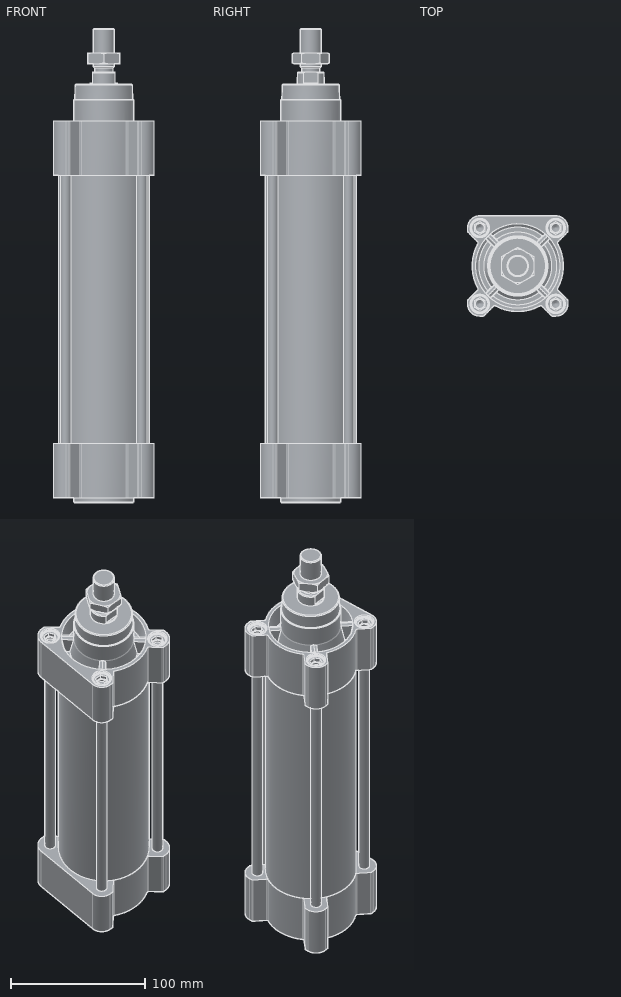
import cadquery as cq
import math

cap_side = 75.0
cap_height = 40.5
cap_round_diameter = 68.0
tie_rod_pitch = 56.5
lug_radius = (cap_side - tie_rod_pitch) / 2
lug_half_width = 8.5
lug_side_offset = lug_half_width * math.sqrt(2)
lug_edge_fillet = 1.5
lug_root_fillet = 1.0

barrel_diameter = 67.8
tie_rod_diameter = 8.0
barrel_length = 199.5

collar_diameter = 45.0
rear_collar_height = 4.0
rear_collar_chamfer = 1.0
front_collar_height = 16.0
front_collar_chamfer = 0.5
neck_height = 11.3
neck_base_diameter = 43.5
neck_top_diameter = 42.7
neck_chamfer = 0.7

recess_diameter = 63.0
recess_floor_diameter = 58.0
recess_depth = 14.0
boss_floor_diameter = 50.5
boss_top_drop = 0.7
rib_eave_width = 4.5
rib_base_width = 5.5
rib_eave_drop = 1.5
rib_ridge_drop = 0.5

socket_mouth_diameter = 14.5
socket_diameter = 13.0
socket_chamfer = (socket_mouth_diameter - socket_diameter) / 2
socket_depth = 1.5
seat_diameter = 12.0
seat_depth = 0.7
hex_across_flats = 8.0
hex_depth = 3.5
screw_hole_diameter = 6.7
screw_hole_depth = 2.0
drill_point_angle = 118

rod_diameter = 20.0
flats_width = 17.0
thread_diameter = 16.0
undercut_diameter = 13.8
undercut_chamfer = (thread_diameter - undercut_diameter) / 2
thread_end_chamfer = 0.7
shoulder_chamfer = 0.7
rod_collar_exposed = 1.0
rod_shoulder_height = 9.2
undercut_length = 3.0
overall_length = 353.0

nut_across_flats = 24.0
nut_height = 8.0
nut_top_below_rod_end = 18.0
nut_chamfer_width = 1.5
nut_chamfer_height = 0.7

rear_cap_z = rear_collar_height
barrel_z = rear_cap_z + cap_height
front_cap_z = barrel_z + barrel_length
front_face_z = front_cap_z + cap_height
neck_z = front_face_z + front_collar_height
neck_top_z = neck_z + neck_height
flats_z = neck_top_z + rod_collar_exposed
shoulder_z = neck_top_z + rod_shoulder_height
thread_z = shoulder_z + undercut_length
nut_top_z = overall_length - nut_top_below_rod_end
nut_z = nut_top_z - nut_height

lug_centers = [
    (sx * tie_rod_pitch / 2, sy * tie_rod_pitch / 2) for sx in (-1, 1) for sy in (-1, 1)
]


def cylinder(diameter, height, z, center=(0, 0)):
    return cq.Workplane("XY", origin=(*center, z)).circle(diameter / 2).extrude(height)


def cone(bottom_diameter, top_diameter, height, z, center=(0, 0)):
    """Frustum (or pointed cone) standing on the plane at z."""
    solid = cq.Solid.makeCone(bottom_diameter / 2, top_diameter / 2, height, cq.Vector(*center, z))
    return cq.Workplane("XY").newObject([solid])


def hexagon_corner_diameter(across_flats):
    return across_flats / math.cos(math.pi / 6)


def hexagon(across_flats, height, z, center=(0, 0)):
    """Hexagonal prism with two of its flats facing -X and +X."""
    corner_diameter = hexagon_corner_diameter(across_flats)
    return (
        cq.Workplane("XY", origin=(*center, z))
        .transformed(rotate=(0, 0, 30))
        .polygon(6, corner_diameter)
        .extrude(height)
    )


def lug(z):
    """Lug at the -X -Y corner: round tip, short flats, then 45 degree sides running inward."""
    half = cap_side / 2
    axis = tie_rod_pitch / 2
    bend = half - lug_side_offset
    arc_mid = axis + lug_radius * math.sqrt(0.5)
    solid = (
        cq.Workplane("XY", origin=(0, 0, z))
        .moveTo(-half, -axis)
        .threePointArc((-arc_mid, -arc_mid), (-axis, -half))
        .lineTo(-bend, -half)
        .lineTo(0, -lug_side_offset)
        .lineTo(-lug_side_offset, 0)
        .lineTo(-half, -bend)
        .close()
        .extrude(cap_height)
    )
    for corner in ((-bend, -half), (-half, -bend)):
        solid = fillet_upright_edge(solid, corner, z, lug_edge_fillet)
    return solid


def fillet_upright_edge(solid, corner, z, radius):
    """Fillet the upright edge of a cap standing on z that passes through the given corner."""
    middle = (*corner, z + cap_height / 2)
    return solid.edges(cq.selectors.NearestToPointSelector(middle)).fillet(radius)


def cap(z):
    """Round body with four lugs, filled out to a straight edge on the +Y side."""
    body = cylinder(cap_round_diameter, cap_height, z)
    for quarter in range(4):
        body = body.union(lug(z).rotate((0, 0, 0), (0, 0, 1), 90 * quarter))
    bridge = (
        cq.Workplane("XY", origin=(0, tie_rod_pitch / 4 + cap_side / 4, z))
        .rect(tie_rod_pitch, lug_radius)
        .extrude(cap_height)
    )
    body = body.union(bridge)

    near = (math.sqrt(cap_round_diameter**2 / 2 - lug_side_offset**2) - lug_side_offset) / 2
    far = near + lug_side_offset
    roots = [(-near, -far), (near, -far), (-far, -near), (far, -near), (-far, near), (far, near)]
    for root in roots:
        body = fillet_upright_edge(body, root, z, lug_root_fillet)
    return body


def recess_rib(angle, floor_z):
    """Peaked, tapered rib across the recess, running along Y before it is turned by the angle."""
    return (
        cq.Workplane("XZ", origin=(0, cap_side / 2, floor_z))
        .moveTo(-rib_base_width / 2, 0)
        .lineTo(rib_base_width / 2, 0)
        .lineTo(rib_eave_width / 2, recess_depth - rib_eave_drop)
        .lineTo(0, recess_depth - rib_ridge_drop)
        .lineTo(-rib_eave_width / 2, recess_depth - rib_eave_drop)
        .close()
        .extrude(cap_side)
        .rotate((0, 0, 0), (0, 0, 1), angle)
    )


def annular_recess():
    """Recess with a tapered outer wall around a tapered boss, crossed by diagonal ribs."""
    floor_z = front_face_z - recess_depth
    recess = cone(recess_floor_diameter, recess_diameter, recess_depth, floor_z)
    recess = recess.cut(cone(boss_floor_diameter, collar_diameter, recess_depth - boss_top_drop, floor_z))
    recess = recess.cut(cylinder(collar_diameter, recess_depth, floor_z))
    for angle in (45, 135):
        recess = recess.cut(recess_rib(angle, floor_z))
    return recess


def screw_socket(center):
    """Chamfered, stepped round mouth, then a hexagon socket with a drilled hole in its floor."""
    socket_z = front_face_z - socket_depth
    seat_z = socket_z - seat_depth
    hex_z = seat_z - hex_depth
    hole_z = hex_z - screw_hole_depth
    point_height = screw_hole_diameter / 2 / math.tan(math.radians(drill_point_angle / 2))
    mouth_z = front_face_z - socket_chamfer
    socket = cone(socket_diameter, socket_mouth_diameter, socket_chamfer, mouth_z, center)
    socket = socket.union(cylinder(socket_diameter, socket_depth, socket_z, center))
    socket = socket.union(cylinder(seat_diameter, seat_depth, seat_z, center))
    socket = socket.union(hexagon(hex_across_flats, hex_depth, hex_z, center))
    socket = socket.union(cylinder(screw_hole_diameter, screw_hole_depth, hole_z, center))
    return socket.union(cone(0, screw_hole_diameter, point_height, hole_z - point_height, center))


def wiper_neck():
    """Slightly tapered neck with a chamfered top edge."""
    neck = cone(neck_base_diameter, neck_top_diameter, neck_height, neck_z)
    return neck.faces(">Z").chamfer(neck_chamfer)


def make_piston_rod():
    """Rod with two wrench flats, an undercut and a plain cylinder for the thread."""
    rod = cylinder(rod_diameter, shoulder_z - barrel_z, barrel_z)
    rod = rod.faces(">Z").chamfer(shoulder_chamfer)
    for side in (-1, 1):
        flat = (
            cq.Workplane("XY", origin=(side * (flats_width / 2 + rod_diameter / 2), 0, flats_z))
            .rect(rod_diameter, rod_diameter)
            .extrude(shoulder_z - flats_z)
        )
        rod = rod.cut(flat)
    thread = cylinder(thread_diameter, overall_length - thread_z, thread_z)
    thread = thread.faces("<Z").chamfer(undercut_chamfer).faces(">Z").chamfer(thread_end_chamfer)
    return rod.union(cylinder(undercut_diameter, undercut_length, shoulder_z)).union(thread)


def make_housing():
    """Both caps, barrel, tie rods, collars and neck, bored for the rod."""
    rear_collar = cylinder(collar_diameter, rear_collar_height, 0)
    housing = rear_collar.faces("<Z").chamfer(rear_collar_chamfer)
    housing = housing.union(cap(rear_cap_z)).union(cap(front_cap_z))
    housing = housing.union(cylinder(barrel_diameter, barrel_length, barrel_z))
    for center in lug_centers:
        housing = housing.union(cylinder(tie_rod_diameter, barrel_length, barrel_z, center))
    housing = housing.cut(annular_recess())
    front_collar = cylinder(collar_diameter, front_collar_height, front_face_z)
    housing = housing.union(front_collar.faces(">Z").chamfer(front_collar_chamfer))
    housing = housing.union(wiper_neck())
    for center in lug_centers:
        housing = housing.cut(screw_socket(center))
    return housing.cut(cylinder(rod_diameter, neck_top_z - barrel_z, barrel_z))


def make_lock_nut():
    """Hexagon nut with chamfered corners on both faces."""
    corner_diameter = hexagon_corner_diameter(nut_across_flats)
    envelope = (
        cylinder(corner_diameter, nut_height, nut_z)
        .faces("<Z or >Z")
        .chamfer(nut_chamfer_height, nut_chamfer_width)
    )
    nut = hexagon(nut_across_flats, nut_height, nut_z).intersect(envelope)
    return nut.cut(cylinder(thread_diameter, nut_height, nut_z))


housing = make_housing()
piston_rod = make_piston_rod()
lock_nut = make_lock_nut()
result = cq.Compound.makeCompound([housing.val(), piston_rod.val(), lock_nut.val()])